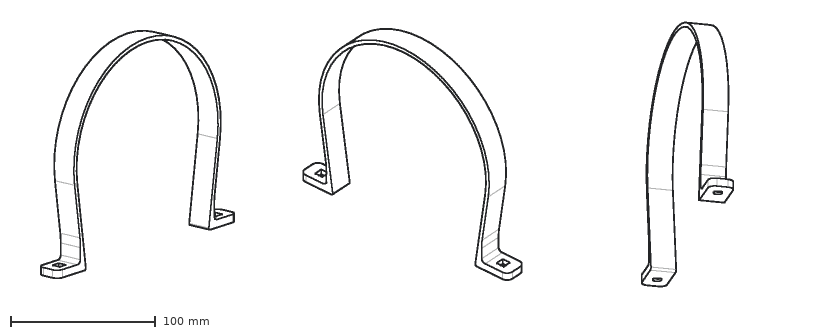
import cadquery as cq
import math

WIDTH = 18.0
LENGTH = 190.0
HEIGHT = 153.0

BAND_THICKNESS = 3.0
BAND_OUTER_DIAMETER = 156.0
LEAN_ANGLE = math.radians(8.2)
BEND_RADIUS = 50.0
RISER_Y = 71.0

FOOT_THICKNESS = 5.9
FOOT_CORNER_RADIUS = 5.0
ROOT_RADIUS = 3.0
HEEL_RADIUS = 1.5

BOLT_END_DISTANCE = 12.0
BOLT_DIAMETER = 6.0
SQUARE_SIDE = 6.5
SQUARE_DEPTH = 4.0

band_outer_radius = BAND_OUTER_DIAMETER / 2
band_inner_radius = band_outer_radius - BAND_THICKNESS
arch_center_z = HEIGHT - band_outer_radius
foot_end_y = LENGTH / 2
bolt_y = foot_end_y - BOLT_END_DISTANCE


def arch_point(radius, angle):
    """Point (y, z) on the arch, with the angle measured up from horizontal."""
    return (radius * math.cos(angle), arch_center_z + radius * math.sin(angle))


def leg_z(tangent_point, y):
    """Height at which a leaning leg face reaches the given y."""
    return tangent_point[1] - (tangent_point[0] - y) / math.tan(LEAN_ANGLE)


def round_edge(body, y, z, radius):
    """Round the edge along X that passes through (y, z)."""
    return body.edges("|X").edges(cq.NearestToPointSelector((0, y, z))).fillet(radius)


def opposite(point):
    """The same (y, z) point on the other side of the plane of symmetry."""
    return (-point[0], point[1])


def make_strap():
    outer_tangent = arch_point(band_outer_radius, -LEAN_ANGLE)
    inner_tangent = arch_point(band_inner_radius, -LEAN_ANGLE)
    arch_top = arch_point(band_outer_radius, math.pi / 2)
    arch_underside = arch_point(band_inner_radius, math.pi / 2)

    bend_z = leg_z(outer_tangent, RISER_Y)
    bend_reach = BEND_RADIUS * math.tan(LEAN_ANGLE / 2)
    bend_start = (
        RISER_Y + bend_reach * math.sin(LEAN_ANGLE),
        bend_z + bend_reach * math.cos(LEAN_ANGLE),
    )
    bend_end = (RISER_Y, bend_z - bend_reach)

    foot_root = (RISER_Y, FOOT_THICKNESS)
    toe_top = (foot_end_y, FOOT_THICKNESS)
    toe_bottom = (foot_end_y, 0)
    heel = (inner_tangent[0] - inner_tangent[1] * math.tan(LEAN_ANGLE), 0)

    strap = (
        cq.Workplane("YZ")
        .moveTo(*opposite(outer_tangent))
        .threePointArc(arch_top, outer_tangent)
        .lineTo(*bend_start)
        .tangentArcPoint(bend_end, relative=False)
        .lineTo(*foot_root)
        .lineTo(*toe_top)
        .lineTo(*toe_bottom)
        .lineTo(*heel)
        .lineTo(*inner_tangent)
        .threePointArc(arch_underside, opposite(inner_tangent))
        .lineTo(*opposite(heel))
        .lineTo(*opposite(toe_bottom))
        .lineTo(*opposite(toe_top))
        .lineTo(*opposite(foot_root))
        .lineTo(*opposite(bend_end))
        .tangentArcPoint(opposite(bend_start), relative=False)
        .close()
        .extrude(WIDTH / 2, both=True)
    )
    for root in (foot_root, opposite(foot_root)):
        strap = round_edge(strap, *root, ROOT_RADIUS)
    for corner in (heel, opposite(heel)):
        strap = round_edge(strap, *corner, HEEL_RADIUS)
    return strap.faces("<Y or >Y").edges("|Z").fillet(FOOT_CORNER_RADIUS)


def make_bolt_hole():
    shank = cq.Workplane("XY").center(0, bolt_y).circle(BOLT_DIAMETER / 2).extrude(FOOT_THICKNESS)
    recess = (
        cq.Workplane("XY", origin=(0, bolt_y, FOOT_THICKNESS))
        .rect(SQUARE_SIDE, SQUARE_SIDE)
        .extrude(-SQUARE_DEPTH)
    )
    return shank.union(recess)


bolt_hole = make_bolt_hole()
result = make_strap().cut(bolt_hole).cut(bolt_hole.mirror("XZ"))